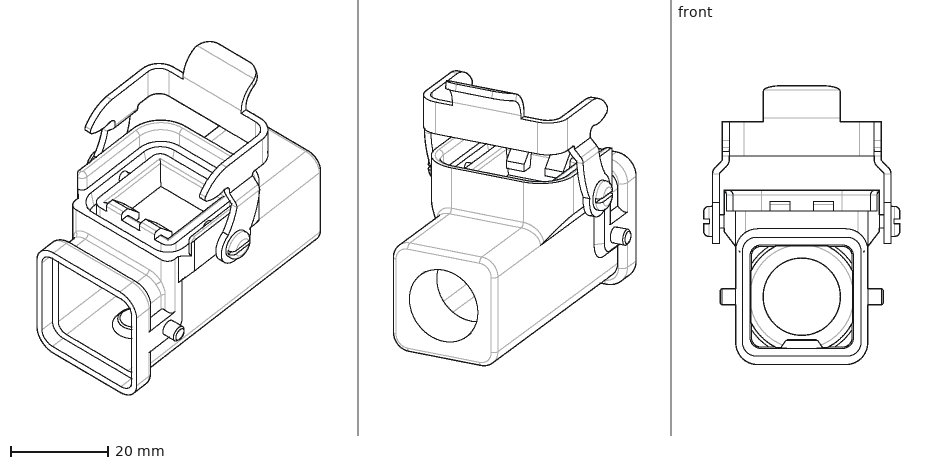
import cadquery as cq
import math


length = 60.0
overall_width = 40.4
body_size = 24.05
body_radius = 3.7
end_fillet = 1.0
flange_width = 27.2
flange_height = 27.95
flange_depth = 5.3
flange_radius = 4.55
flange_fillet = 1.4
recess_size = 24.4
recess_depth = 3.3
recess_radius = 2.9
cavity_size = 21.3
cavity_radius = 2.3
cavity_draft = 0.3
bore_radius = 7.9
back_wall = 1.5
boss_radius = 11.7
boss_height = 10.8
boss_fillet = 1.0
boss_foot_fillet = 0.65
body_half = body_size / 2

collar_width = 31.9
collar_back = 40.4
collar_corner = collar_width / 2 - (body_half - body_radius)
collar_top = 21.9
collar_wall = 1.83
collar_wall_front = 14.95
collar_edge = 1.0
collar_end_radius = 1.3
ledge_z = 17.65
taper_top = 13.4
taper_bottom = body_half - body_radius
block_front = 9.95
block_half = flange_width / 2
block_corner = 2.0
collar_side_front = 15.4
collar_front = collar_side_front - (collar_width / 2 - block_half)
root_fillet = 0.9

pad_rise = block_half - body_half
pad_back = 14.3
pad_half = 2.9
pad_corner = 2.6
pad_leg_front = 12.85
pin_y = 9.9
pin_radius = 1.7
pin_end = 16.8
pin_chamfer = 0.35

groove_size = 23.9
groove_radius = 4.4
groove_draft = 0.7
groove_floor = 14.4
insert_y = 24.21
insert_size = 21.0
insert_radius = 2.15
rim_z = ledge_z
pocket_width = 16.55
pocket_length = 16.6
mouth_fillet = 0.65
pocket_draft = 11.0
pocket_floor = 12.0
hook_width = 4.15
hook_offset = 4.5
hook_top = 19.55
hook_back = 19.15
hook_ramp_start = 15.6
hook_fillet = 0.6

foot_radius = 1.47
foot_drop = 0.63
foot_positions = (27.0, 31.3)
cone_y = 14.7
cone_base_radius = 4.45
cone_top_radius = 3.1
cone_height = 1.85
cone_chamfer = 0.3

strap = 1.5
lever_half = 16.4
leg_half = 18.35
lever_back = 40.75
lever_corner = 4.55
lever_top = 36.0
lever_bottom = 28.9
jog_top = 28.0
jog_bottom = 26.0
jog_fillet = 1.7
neck_front = 25.9
neck_back = 33.05
pivot_y = 25.55
pivot_z = 15.5
eye_radius = 4.55
shaft_radius = 1.4
head_radius = 3.1
head_fillet = 1.15
head_end = overall_width / 2
head_slot_width = 0.9
head_slot_depth = 1.2
tab_width = 15.85
tab_radius = 6.1
tab_start = 36.7
tab_turn = 72.0
tab_straight = 2.75
tab_corner = 3.7


def bar_along_y(width, height, radius, start, depth, taper=0.0):
    """Rounded rectangular bar centred on the barrel axis, running toward +Y."""
    profile = cq.Sketch().rect(width, height).vertices().fillet(radius)
    plane = cq.Workplane("XZ", origin=(0, start, 0))
    return plane.placeSketch(profile).extrude(-depth, taper=taper)


def rod_along_y(radius, start, depth):
    return cq.Workplane("XZ", origin=(0, start, 0)).circle(radius).extrude(-depth)


def rod_along_x(radius, y, z, start, end):
    return cq.Workplane("YZ", origin=(start, y, z)).circle(radius).extrude(end - start)


def block(x_range, y_range, z_range):
    size = [high - low for low, high in (x_range, y_range, z_range)]
    corner = (x_range[0], y_range[0], z_range[0])
    return cq.Workplane("XY").box(*size, centered=False).translate(corner)


def slab(width, depth, radius, z, height):
    """Rounded rectangle around the insert centre, rising from z."""
    profile = cq.Sketch().rect(width, depth).vertices().fillet(radius)
    return cq.Workplane("XY", origin=(0, insert_y, z)).placeSketch(profile).extrude(height)


def both_sides(solid):
    return solid.union(solid.mirror("YZ"))


def make_barrel():
    barrel = bar_along_y(body_size, body_size, body_radius, 0.6, length - 0.6)
    return barrel.faces(">Y").edges().fillet(end_fillet)


def make_flange():
    flange = bar_along_y(flange_width, flange_height, flange_radius, 0, flange_depth)
    return flange.faces(">Y").edges().fillet(flange_fillet)


def make_collar():
    half = collar_width / 2
    collar = block((-half, half), (collar_front, collar_back), (taper_bottom, collar_top))

    inner_half = half - collar_wall
    inner_back = collar_back - collar_wall
    opening = block((-inner_half, inner_half), (0, inner_back), (ledge_z, collar_top))
    opening = opening.edges("|Z and >Y").fillet(collar_corner - collar_wall)
    front_gap = block((-half, half), (0, collar_wall_front), (ledge_z, collar_top))
    collar = collar.cut(opening).cut(front_gap)
    wall_ends = cq.selectors.BoxSelector(
        (-inner_half - 0.05, collar_wall_front - 0.05, ledge_z + 0.05),
        (inner_half + 0.05, collar_wall_front + 0.05, collar_top - 0.05),
    )
    collar = collar.edges(wall_ends).fillet(collar_end_radius)
    rim_edges = cq.selectors.BoxSelector(
        (-half + 0.05, collar_wall_front - 0.05, collar_top - 0.05),
        (half - 0.05, inner_back + 0.05, collar_top + 0.05),
    )
    collar = collar.edges(rim_edges).fillet(collar_edge)
    collar = collar.edges("|Z and >Y").fillet(collar_corner)

    corner_cut = (
        cq.Workplane("XY")
        .moveTo(block_half, collar_front)
        .lineTo(half, collar_side_front)
        .lineTo(half, collar_front)
        .close()
        .extrude(collar_top)
    )
    collar = collar.cut(both_sides(corner_cut))

    under_cut = (
        cq.Workplane("XZ", origin=(0, 0, 0))
        .moveTo(body_half, taper_bottom)
        .lineTo(half, taper_top)
        .lineTo(half + 0.6, taper_top)
        .lineTo(half + 0.6, taper_bottom)
        .close()
        .extrude(-length)
    )
    return collar.cut(both_sides(under_cut))


def make_front_block():
    front = block((-block_half, block_half), (block_front, pad_back), (0, ledge_z))
    return front.edges("|Z and <Y").fillet(block_corner)


def make_pad():
    """Side pad with 45 degree flanks, widest where it meets the barrel."""
    low_front = recess_depth - pad_rise
    low = -pad_half - pad_rise
    high = pad_half + pad_rise
    back = pad_back + pad_rise
    leg_front = pad_leg_front - pad_rise
    corner = pad_corner + pad_rise
    bend = corner * (1 - math.sqrt(0.5))
    pad = (
        cq.Workplane("YZ", origin=(body_half, 0, 0))
        .moveTo(low_front, low)
        .lineTo(back - corner, low)
        .threePointArc((back - bend, low + bend), (back, low + corner))
        .lineTo(back, taper_top)
        .lineTo(leg_front, taper_top)
        .lineTo(leg_front, high)
        .lineTo(low_front, high)
        .close()
        .extrude(pad_rise, taper=45)
    )
    pin = rod_along_x(pin_radius, pin_y, 0, body_half, pin_end)
    return pad.union(pin.faces(">X").chamfer(pin_chamfer))


def cut_cavity(housing):
    recess = bar_along_y(recess_size, recess_size, recess_radius, 0, recess_depth)
    cavity_depth = length - back_wall
    cavity = bar_along_y(cavity_size, cavity_size, cavity_radius, 0, cavity_depth, cavity_draft)

    boss = rod_along_y(boss_radius, cavity_depth - boss_height, boss_height + 0.6)
    boss = boss.faces("<Y").edges().fillet(boss_fillet)
    foot = rod_along_y(boss_radius + boss_foot_fillet, cavity_depth - boss_foot_fillet, boss_foot_fillet + 0.6)
    foot = foot.faces("<Y").edges().chamfer(boss_foot_fillet * 0.99)
    cavity = cavity.cut(boss).cut(foot)
    return housing.cut(recess).cut(cavity).cut(rod_along_y(bore_radius, 0, length))


def add_floor_details(housing):
    """A low cone on the cavity floor and two round feet under the barrel."""
    floor = -cavity_size / 2
    cone = (
        cq.Workplane("XY", origin=(0, cone_y, floor))
        .circle(cone_base_radius)
        .workplane(offset=cone_height)
        .circle(cone_top_radius)
        .loft()
    )
    housing = housing.union(cone.faces(">Z").chamfer(cone_chamfer))
    foot_z = -body_half - foot_drop
    feet = (
        cq.Workplane("XY", origin=(0, 0, foot_z))
        .pushPoints([(0, y) for y in foot_positions])
        .circle(foot_radius)
        .extrude(2 * foot_drop)
    )
    return housing.union(feet)


def make_insert_groove():
    depth = ledge_z - groove_floor
    mouth_size = groove_size + 2 * groove_draft
    profile = cq.Sketch().rect(mouth_size, mouth_size).vertices().fillet(groove_radius)
    taper = math.degrees(math.atan(groove_draft / depth))
    groove = (
        cq.Workplane("XY", origin=(0, insert_y, ledge_z))
        .placeSketch(profile)
        .extrude(-depth, taper=taper)
    )
    core = slab(insert_size, insert_size, insert_radius, groove_floor, rim_z - groove_floor)
    return groove.cut(core)


def cut_pocket(housing):
    """Tapered pocket in the insert with a rounded mouth."""
    pocket = (
        cq.Workplane("XY", origin=(0, insert_y, rim_z))
        .rect(pocket_width, pocket_length)
        .extrude(pocket_floor - rim_z, taper=pocket_draft)
    )
    mouth = cq.selectors.BoxSelector(
        (-pocket_width / 2 - 0.05, insert_y - pocket_length / 2 - 0.05, rim_z - 0.05),
        (pocket_width / 2 + 0.05, insert_y + pocket_length / 2 + 0.05, rim_z + 0.05),
    )
    return housing.cut(pocket).edges(mouth).fillet(mouth_fillet)


def make_hook(x):
    front = insert_y - insert_size / 2
    hook = (
        cq.Workplane("YZ", origin=(x - hook_width / 2, 0, 0))
        .moveTo(front, groove_floor)
        .lineTo(front, hook_top)
        .lineTo(hook_ramp_start, hook_top)
        .lineTo(hook_back, hook_top - (hook_back - hook_ramp_start))
        .lineTo(hook_back, groove_floor)
        .close()
        .extrude(hook_width)
    )
    return hook.edges("|X and >Z and <Y").fillet(hook_fillet)


def make_lever_profile():
    """Side outline of one lever arm: nose, neck and round eye."""
    return (
        cq.Workplane("YZ")
        .moveTo(lever_back - lever_corner, lever_bottom)
        .lineTo(lever_back - lever_corner, lever_top)
        .lineTo(24.9, lever_top)
        .threePointArc((21.35, 34.9), (18.35, 32.15))
        .threePointArc((18.25, 31.4), (18.95, 30.65))
        .threePointArc((21.6, 29.9), (24.35, 30.1))
        .threePointArc((25.45, 29.8), (neck_front, lever_bottom))
        .lineTo(neck_front, 25.2)
        .threePointArc((24.8, 21.95), (23.2, 19.4))
        .threePointArc((pivot_y, pivot_z - eye_radius), (30.05, 16.3))
        .threePointArc((32.35, 21.6), (neck_back, 25.2))
        .lineTo(neck_back, lever_bottom - 0.6)
        .threePointArc((neck_back + 0.2, lever_bottom - 0.2), (neck_back + 0.6, lever_bottom))
        .close()
        .extrude(leg_half + 0.6)
    )


def make_lever_arm():
    """One strap, stepped outward below the neck and trimmed to the side outline."""
    arm = (
        cq.Workplane("XZ")
        .moveTo(lever_half, lever_top)
        .lineTo(lever_half, jog_top)
        .lineTo(leg_half, jog_bottom)
        .lineTo(leg_half, 0)
        .lineTo(leg_half - strap, 0)
        .lineTo(leg_half - strap, jog_bottom - 0.6)
        .lineTo(lever_half - strap, jog_top - 0.6)
        .lineTo(lever_half - strap, lever_top)
        .close()
        .extrude(-length)
    )
    bends = cq.selectors.BoxSelector((0, -0.6, jog_bottom - 1.2), (leg_half + 0.6, length + 0.6, jog_top + 0.6))
    arm = arm.edges("|Y").edges(bends).edges("<X or >X").fillet(jog_fillet)
    return arm.intersect(make_lever_profile())


def make_lever_back():
    corner_y = lever_back - lever_corner - strap
    z_range = (lever_bottom, lever_top)
    outer = block((-lever_half, lever_half), (corner_y, lever_back), z_range)
    outer = outer.edges("|Z and >Y").fillet(lever_corner)
    inner_half = lever_half - strap
    inner = block((-inner_half, inner_half), (corner_y, lever_back - strap), z_range)
    inner = inner.edges("|Z and >Y").fillet(lever_corner - strap)
    return outer.cut(inner)


def make_thumb_tab():
    """Strap curling up and back from the lever, ending in a straight lip."""
    front = lever_back - strap
    centre_y = front + tab_radius

    def on_bend(radius, degrees):
        angle = math.radians(degrees)
        return centre_y - radius * math.cos(angle), tab_start + radius * math.sin(angle)

    turn = math.radians(tab_turn)
    lip_y = tab_straight * math.sin(turn)
    lip_z = tab_straight * math.cos(turn)
    inner_radius = tab_radius - strap
    outer_end = on_bend(tab_radius, tab_turn)
    inner_end = on_bend(inner_radius, tab_turn)
    tab = (
        cq.Workplane("YZ", origin=(-tab_width / 2, 0, 0))
        .moveTo(front, lever_top)
        .lineTo(front, tab_start)
        .threePointArc(on_bend(tab_radius, tab_turn / 2), outer_end)
        .lineTo(outer_end[0] + lip_y, outer_end[1] + lip_z)
        .lineTo(inner_end[0] + lip_y, inner_end[1] + lip_z)
        .lineTo(*inner_end)
        .threePointArc(on_bend(inner_radius, tab_turn / 2), (lever_back, tab_start))
        .lineTo(lever_back, lever_top)
        .close()
        .extrude(tab_width)
    )
    return tab.faces(">Y").edges("not |X").fillet(tab_corner)


def make_pivot():
    """Slotted screw holding one lever arm; its shaft reaches the insert."""
    shaft = rod_along_x(shaft_radius, pivot_y, pivot_z, insert_size / 2, leg_half)
    head = rod_along_x(head_radius, pivot_y, pivot_z, leg_half, head_end)
    head = head.faces(">X").edges().fillet(head_fillet)
    slot = block(
        (head_end - head_slot_depth, head_end),
        (pivot_y - head_radius, pivot_y + head_radius),
        (pivot_z - head_slot_width / 2, pivot_z + head_slot_width / 2),
    )
    return shaft.union(head.cut(slot))


def blend_collar_roots(housing):
    """Round the inside corners where the collar and front block meet the barrel."""
    half = body_half + 0.05
    behind = cq.selectors.BoxSelector(
        (-half, collar_back - collar_corner, taper_bottom), (half, collar_back + 0.05, half)
    )
    ahead = cq.selectors.BoxSelector((-half, 0, 0.05), (half, block_front + 0.2, half))
    return housing.edges(behind).fillet(root_fillet).edges(ahead).fillet(root_fillet)


housing = make_barrel().union(make_collar()).union(make_front_block())
housing = blend_collar_roots(housing)
housing = housing.union(make_flange()).union(both_sides(make_pad()))
housing = cut_cavity(housing)
housing = add_floor_details(housing)
housing = cut_pocket(housing.cut(make_insert_groove()))
for x in (-hook_offset, hook_offset):
    housing = housing.union(make_hook(x))

lever = both_sides(make_lever_arm().union(make_pivot()))
lever = lever.union(make_lever_back()).union(make_thumb_tab())

result = housing.union(lever)